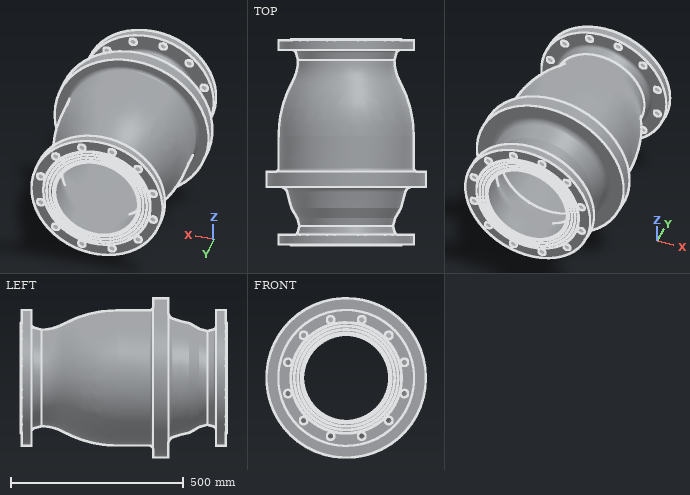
import cadquery as cq
import math

total_length = 600.0
bore_radius = 125.0

flange_radius = 395.0 / 2
flange_thickness = 29.0
raised_face_radius = 160.0
raised_face_base_radius = 162.0
raised_face_height = 3.0
bolt_count = 12
bolt_hole_diameter = 22.0
bolt_circle_radius = 175.0
groove_radii = (131.0, 141.0, 151.0)
groove_half_width = 0.8
groove_depth = 0.8

slant_angle = math.radians(15.0)
inlet_cone_angle = math.radians(30.0)
neck_fillet_radius = 10.0
inlet_fillet_radius = 20.0
body_fillet_radius = 10.0

inlet_throat_at = 57.0
inlet_cone_start_at = 80.0
inlet_cone_end_at = 109.5
body_flange_start_at = 170.5
body_flange_end_at = 215.0
dome_start_at = 318.0
dome_inflection_at = 476.0
outlet_throat_at = 539.0

inlet_throat_radius = 136.5
body_flange_radius = 464.0 / 2
body_radius = 394.0 / 2
outlet_throat_radius = 140.7

inlet_cavity_radius = 308.0 / 2
body_cavity_radius = 364.0 / 2
inlet_flare_inflection_at = 92.0
inlet_cavity_start_at = 140.0
inlet_cavity_end_at = 161.0
body_cavity_start_at = 184.0

flange_depth = raised_face_height + flange_thickness
outlet_flange_at = total_length - flange_depth


def slope_and_fillet(start, angle, fillet_radius, face_at):
    """Points of a cone that widens from `start` towards a flange face and blends into it.

    Returns the cone end, the middle of the fillet and the fillet's end on the face.
    """
    direction = math.copysign(1.0, face_at - start[1])
    cone_length = abs(face_at - start[1]) - fillet_radius * (1 - math.sin(angle))
    cone_end = (start[0] + cone_length * math.tan(angle), start[1] + direction * cone_length)
    centre = (cone_end[0] + fillet_radius * math.cos(angle), face_at - direction * fillet_radius)
    middle_angle = (angle + math.pi / 2) / 2
    fillet_middle = (
        centre[0] - fillet_radius * math.cos(middle_angle),
        centre[1] + direction * fillet_radius * math.sin(middle_angle),
    )
    return cone_end, fillet_middle, (centre[0], face_at)


def add_s_curve(sketch, start, inflection_at, end):
    """Extend the sketch with two tangent arcs that run axially at both outer ends."""
    length = end[1] - start[1]
    rise = end[0] - start[0]
    turn = 2 * math.atan(abs(rise) / length)
    first_length = inflection_at - start[1]
    second_length = end[1] - inflection_at
    inflection = (start[0] + rise * first_length / length, inflection_at)

    axial_share = math.sin(turn / 2) / math.sin(turn)
    radial_share = axial_share * math.tan(turn / 4) / math.tan(turn / 2)
    first_middle = (
        start[0] + radial_share * (inflection[0] - start[0]),
        start[1] + axial_share * first_length,
    )
    second_middle = (
        end[0] - radial_share * (end[0] - inflection[0]),
        end[1] - axial_share * second_length,
    )
    return sketch.threePointArc(first_middle, inflection).threePointArc(second_middle, end)


def revolve_about_flow_axis(sketch):
    """Close a (radius, Y) outline and turn it a full circle about Y."""
    return sketch.close().revolve(360, (0, 0, 0), (0, 1, 0))


def make_shell():
    """Solid bounded by the outside of the part: flanges, necks, inlet cone and domed body."""
    inlet_throat = (inlet_throat_radius, inlet_throat_at)
    outlet_throat = (outlet_throat_radius, outlet_throat_at)
    cone_start_radius = inlet_throat[0] + (inlet_cone_start_at - inlet_throat_at) * math.tan(slant_angle)
    cone_start = (cone_start_radius, inlet_cone_start_at)
    cone_rise = (inlet_cone_end_at - inlet_cone_start_at) * math.tan(inlet_cone_angle)
    cone_end = (cone_start_radius + cone_rise, inlet_cone_end_at)

    inlet_neck = slope_and_fillet(inlet_throat, slant_angle, neck_fillet_radius, flange_depth)
    shoulder = slope_and_fillet(cone_end, slant_angle, inlet_fillet_radius, body_flange_start_at)
    body_fillet = slope_and_fillet((body_radius, dome_start_at), 0, body_fillet_radius, body_flange_end_at)
    outlet_neck = slope_and_fillet(outlet_throat, slant_angle, neck_fillet_radius, outlet_flange_at)

    sketch = (
        cq.Workplane("XY")
        .lineTo(raised_face_radius, 0)
        .lineTo(raised_face_base_radius, raised_face_height)
        .lineTo(flange_radius, raised_face_height)
        .lineTo(flange_radius, flange_depth)
        .lineTo(*inlet_neck[2])
        .threePointArc(inlet_neck[1], inlet_neck[0])
        .lineTo(*inlet_throat)
        .lineTo(*cone_start)
        .lineTo(*cone_end)
        .lineTo(*shoulder[0])
        .threePointArc(shoulder[1], shoulder[2])
        .lineTo(body_flange_radius, body_flange_start_at)
        .lineTo(body_flange_radius, body_flange_end_at)
        .lineTo(*body_fillet[2])
        .threePointArc(body_fillet[1], body_fillet[0])
        .lineTo(body_radius, dome_start_at)
    )
    sketch = add_s_curve(sketch, (body_radius, dome_start_at), dome_inflection_at, outlet_throat)
    sketch = (
        sketch.lineTo(*outlet_neck[0])
        .threePointArc(outlet_neck[1], outlet_neck[2])
        .lineTo(flange_radius, outlet_flange_at)
        .lineTo(flange_radius, total_length - raised_face_height)
        .lineTo(raised_face_base_radius, total_length - raised_face_height)
        .lineTo(raised_face_radius, total_length)
        .lineTo(0, total_length)
    )
    return revolve_about_flow_axis(sketch)


def make_cavity():
    """Flow passage: bore, flared inlet chamber, wider body chamber and domed outlet."""
    inlet_bore_end = (bore_radius, inlet_throat_at)
    inlet_cavity_start = (inlet_cavity_radius, inlet_cavity_start_at)
    dome_start = (body_cavity_radius, dome_start_at)
    outlet_bore_start = (bore_radius, outlet_throat_at)

    sketch = cq.Workplane("XY").lineTo(bore_radius, 0).lineTo(*inlet_bore_end)
    sketch = add_s_curve(sketch, inlet_bore_end, inlet_flare_inflection_at, inlet_cavity_start)
    sketch = (
        sketch.lineTo(inlet_cavity_radius, inlet_cavity_end_at)
        .lineTo(body_cavity_radius, body_cavity_start_at)
        .lineTo(*dome_start)
    )
    sketch = add_s_curve(sketch, dome_start, dome_inflection_at, outlet_bore_start)
    sketch = sketch.lineTo(bore_radius, total_length).lineTo(0, total_length)
    return revolve_about_flow_axis(sketch)


def make_groove(radius, face_at, inward):
    """V-shaped sealing groove in a raised face; `inward` is the axial direction into the metal."""
    sketch = cq.Workplane("XY").polyline([
        (radius - groove_half_width, face_at),
        (radius, face_at + inward * groove_depth),
        (radius + groove_half_width, face_at),
    ])
    return revolve_about_flow_axis(sketch)


def make_bolt_holes(start_at):
    """Ring of bolt-hole cutters through one end flange, straddling the X and Z axes."""
    half_pitch = 180.0 / bolt_count
    return (
        cq.Workplane("XZ", origin=(0, start_at, 0))
        .polarArray(bolt_circle_radius, half_pitch, 360, bolt_count)
        .circle(bolt_hole_diameter / 2)
        .extrude(-flange_depth)
    )


part = make_shell().cut(make_cavity())
for flange_start in (0, outlet_flange_at):
    part = part.cut(make_bolt_holes(flange_start))
for groove_radius in groove_radii:
    part = part.cut(make_groove(groove_radius, 0, 1))
    part = part.cut(make_groove(groove_radius, total_length, -1))

result = part.translate((0, -total_length / 2, 0))